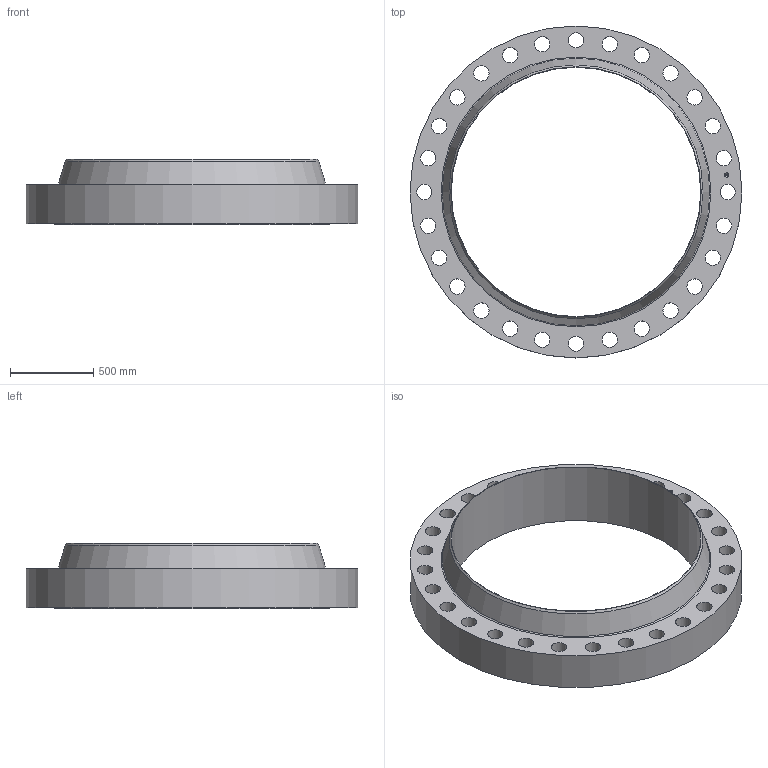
import math

import cadquery as cq

FLANGE_DIAMETER = 1994.0
FLANGE_THICKNESS = 233.5

FACE_DIAMETER = 1651.0
FACE_HEIGHT = 6.4

TOTAL_HEIGHT = 395.22
HUB_BASE_DIAMETER = 1608.0
HUB_TOP_DIAMETER = 1524.0
BORE_DIAMETER = 1499.0
HUB_FILLET_RADIUS = 8.0

BEVEL_HEIGHT = 13.0
BEVEL_ANGLE = 37.5

BOLT_COUNT = 28
BOLT_CIRCLE_DIAMETER = 1822.5
BOLT_HOLE_DIAMETER = 92.0

SMALL_HOLE_DIAMETER = 14.0
COUNTERSINK_DIAMETER = 26.0
COUNTERSINK_ANGLE = 90.0

HUB_BASE_EDGE_RANK = 3

BOLT_PITCH = 360.0 / BOLT_COUNT
FLANGE_BOTTOM = FACE_HEIGHT
FLANGE_TOP = FLANGE_BOTTOM + FLANGE_THICKNESS


def make_body():
    """Revolve the half section of the flange about the Z axis."""
    bore_radius = BORE_DIAMETER / 2
    hub_top_radius = HUB_TOP_DIAMETER / 2
    land_radius = hub_top_radius - BEVEL_HEIGHT * math.tan(math.radians(BEVEL_ANGLE))
    section = [
        (bore_radius, 0),
        (FACE_DIAMETER / 2, 0),
        (FACE_DIAMETER / 2, FLANGE_BOTTOM),
        (FLANGE_DIAMETER / 2, FLANGE_BOTTOM),
        (FLANGE_DIAMETER / 2, FLANGE_TOP),
        (HUB_BASE_DIAMETER / 2, FLANGE_TOP),
        (hub_top_radius, TOTAL_HEIGHT - BEVEL_HEIGHT),
        (land_radius, TOTAL_HEIGHT),
        (bore_radius, TOTAL_HEIGHT),
    ]
    body = cq.Workplane("XZ").polyline(section).close().revolve(360, (0, 0, 0), (0, 1, 0))
    hub_base_edge = cq.selectors.RadiusNthSelector(HUB_BASE_EDGE_RANK)
    return body.edges("%CIRCLE").edges(hub_base_edge).fillet(HUB_FILLET_RADIUS)


def make_hole(angle, diameter):
    """Make a cylindrical cutter on the bolt circle, through the whole flange."""
    return (
        cq.Workplane("XY", origin=(BOLT_CIRCLE_DIAMETER / 2, 0, FLANGE_BOTTOM))
        .circle(diameter / 2)
        .extrude(FLANGE_THICKNESS)
        .rotate((0, 0, 0), (0, 0, 1), angle)
    )


def make_countersink(angle):
    """Make a conical cutter on the bolt circle, widest at the flange top."""
    large_radius = COUNTERSINK_DIAMETER / 2
    small_radius = SMALL_HOLE_DIAMETER / 2
    depth = (large_radius - small_radius) / math.tan(math.radians(COUNTERSINK_ANGLE / 2))
    cone = cq.Solid.makeCone(
        large_radius,
        small_radius,
        depth,
        pnt=cq.Vector(BOLT_CIRCLE_DIAMETER / 2, 0, FLANGE_TOP),
        dir=cq.Vector(0, 0, -1),
    )
    return cq.Workplane(cone).rotate((0, 0, 0), (0, 0, 1), angle)


result = make_body()
for index in range(BOLT_COUNT):
    result = result.cut(make_hole(index * BOLT_PITCH, BOLT_HOLE_DIAMETER))

small_hole_angle = BOLT_PITCH / 2
result = result.cut(make_hole(small_hole_angle, SMALL_HOLE_DIAMETER))
result = result.cut(make_countersink(small_hole_angle))